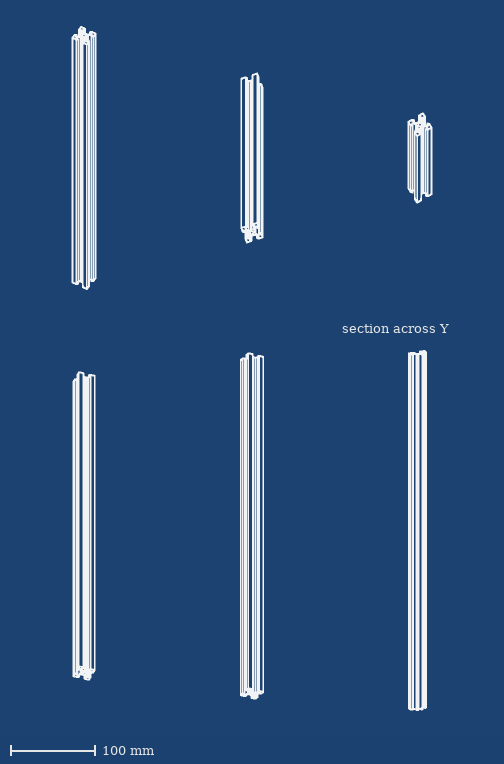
import cadquery as cq

side = 20.0
length = 450.0

slot_count = 4
mouth_width = 9.16
throat_width = 6.25
lip_thickness = 1.8
cavity_width = 11.0

core_width = 7.8
core_flat_width = 5.68
bore_diameter = 4.2

groove_width = 1.0
groove_depth = groove_width / 2

half_side = side / 2
lip_inner = half_side - lip_thickness
core_face = core_width / 2
cavity_wall_base = core_face + (cavity_width - core_flat_width) / 2


def slot_cutter():
    """Prism that opens the slot in the +Y face, mirror-symmetric about X = 0."""
    groove_bottom = (0, core_face - groove_depth)
    right_side = [
        (groove_width / 2, core_face),
        (core_flat_width / 2, core_face),
        (cavity_width / 2, cavity_wall_base),
        (cavity_width / 2, lip_inner),
        (throat_width / 2, lip_inner),
        (mouth_width / 2, half_side),
    ]
    left_side = [(-x, y) for x, y in reversed(right_side)]
    outline = [groove_bottom] + right_side + left_side
    return cq.Workplane("XY").polyline(outline).close().extrude(length)


def build_bar():
    """Square bar with a slot in each side face and a bore along its axis."""
    bar = cq.Workplane("XY").rect(side, side).extrude(length)
    cutter = slot_cutter()
    for slot in range(slot_count):
        bar = bar.cut(cutter.rotate((0, 0, 0), (0, 0, 1), 360 / slot_count * slot))
    bore = cq.Workplane("XY").circle(bore_diameter / 2).extrude(length)
    return bar.cut(bore)


result = build_bar()